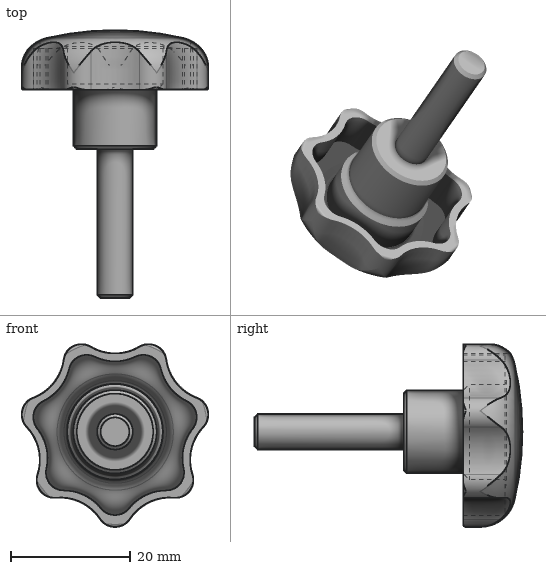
import cadquery as cq
import math

TURNING_PLANE = cq.Plane(origin=(0, 0, 0), xDir=(1, 0, 0), normal=(0, 0, -1))
head_depth = 10.0
hub_end = 20.0
total_length = 45.0

lobe_count = 7
head_radius = 32.0 / 2
lobe_radius = 3.0
scallop_radius = 8.0
dome_radius = 49.95
shoulder_radius = 6.0
rim_fillet = 0.5

cavity_tip_radius = 14.0
floor_depth = 3.0
pit_outer_radius = 9.75
pit_slope = math.radians(12)
root_fillet = 0.5

hub_radius = 14.0 / 2
hub_base_radius = 16.0 / 2
shoulder_height = hub_base_radius - hub_radius
stud_radius = 6.0 / 2
end_chamfer = 0.6


def polar(radius, angle):
    """Point at a radius and an angle in radians."""
    return (radius * math.cos(angle), radius * math.sin(angle))


def between(start, end, fraction):
    """Point a given fraction of the way from start to end."""
    return tuple(a + fraction * (b - a) for a, b in zip(start, end))


def star_prism(tip_radius, start_depth, end_depth):
    """Prism along Y whose outline alternates tangent convex lobes and concave scallops."""
    half_pitch = math.pi / lobe_count
    lobe_center_radius = tip_radius - lobe_radius
    center_gap = lobe_radius + scallop_radius
    scallop_center_radius = lobe_center_radius * math.cos(half_pitch) + math.sqrt(
        center_gap**2 - (lobe_center_radius * math.sin(half_pitch)) ** 2
    )
    valley_radius = scallop_center_radius - scallop_radius
    tangent_fraction = lobe_radius / center_gap

    def tangent_point(lobe_angle, side):
        lobe_center = polar(lobe_center_radius, lobe_angle)
        scallop_center = polar(scallop_center_radius, lobe_angle + side * half_pitch)
        return between(lobe_center, scallop_center, tangent_fraction)

    first_angle = -math.pi / 2
    outline = cq.Workplane("XZ", origin=(0, -start_depth, 0)).moveTo(*tangent_point(first_angle, -1))
    for index in range(lobe_count):
        angle = first_angle + 2 * index * half_pitch
        next_angle = angle + 2 * half_pitch
        outline = outline.threePointArc(polar(tip_radius, angle), tangent_point(angle, 1))
        outline = outline.threePointArc(
            polar(valley_radius, angle + half_pitch), tangent_point(next_angle, -1)
        )
    return outline.close().extrude(end_depth - start_depth)


def turned(points):
    """Solid of revolution about Y from (radius, depth) points."""
    return cq.Workplane(TURNING_PLANE).polyline(points).close().revolve(360, (0, 0), (0, 1))


def head_envelope():
    """Domed disc with a rounded shoulder tangent to the dome and a rounded rim."""
    shoulder_center_r = head_radius - shoulder_radius
    dome_angle = math.asin(shoulder_center_r / (dome_radius - shoulder_radius))
    shoulder_center_depth = dome_radius - (dome_radius - shoulder_radius) * math.cos(dome_angle)

    def dome_point(angle):
        return (dome_radius * math.sin(angle), dome_radius * (1 - math.cos(angle)))

    shoulder_angle = (dome_angle + math.pi / 2) / 2
    shoulder_middle = (
        shoulder_center_r + shoulder_radius * math.sin(shoulder_angle),
        shoulder_center_depth - shoulder_radius * math.cos(shoulder_angle),
    )
    return (
        cq.Workplane(TURNING_PLANE)
        .moveTo(0, 0)
        .threePointArc(dome_point(dome_angle / 2), dome_point(dome_angle))
        .threePointArc(shoulder_middle, (head_radius, shoulder_center_depth))
        .lineTo(head_radius, head_depth - rim_fillet)
        .radiusArc((head_radius - rim_fillet, head_depth), -rim_fillet)
        .lineTo(0, head_depth)
        .close()
        .revolve(360, (0, 0), (0, 1))
    )


def pit():
    """Recess in the cavity floor that slopes down to a filleted root at the hub."""
    fillet_center_r = hub_base_radius + root_fillet
    slope_end_r = fillet_center_r + root_fillet * math.sin(pit_slope)
    slope_end_depth = floor_depth - (pit_outer_radius - slope_end_r) * math.tan(pit_slope)
    fillet_center_depth = slope_end_depth + root_fillet * math.cos(pit_slope)
    middle_angle = (math.pi / 2 - pit_slope) / 2
    fillet_middle = (
        fillet_center_r - root_fillet * math.sin(middle_angle),
        fillet_center_depth - root_fillet * math.cos(middle_angle),
    )
    return (
        cq.Workplane(TURNING_PLANE)
        .moveTo(pit_outer_radius, floor_depth)
        .lineTo(slope_end_r, slope_end_depth)
        .threePointArc(fillet_middle, (hub_base_radius, fillet_center_depth))
        .lineTo(hub_base_radius, floor_depth)
        .close()
        .revolve(360, (0, 0), (0, 1))
    )


def hub_and_stud():
    """Stepped hub with a 45 degree shoulder, carrying the chamfered stud."""
    return turned([
        (0, floor_depth),
        (hub_base_radius, floor_depth),
        (hub_base_radius, head_depth - shoulder_height),
        (hub_radius, head_depth),
        (hub_radius, hub_end - end_chamfer),
        (hub_radius - end_chamfer, hub_end),
        (stud_radius, hub_end),
        (stud_radius, total_length - end_chamfer),
        (stud_radius - end_chamfer, total_length),
        (0, total_length),
    ])


head = star_prism(head_radius, 0, head_depth).intersect(head_envelope())
cavity = star_prism(cavity_tip_radius, floor_depth, head_depth)
result = head.cut(cavity).cut(pit()).union(hub_and_stud())